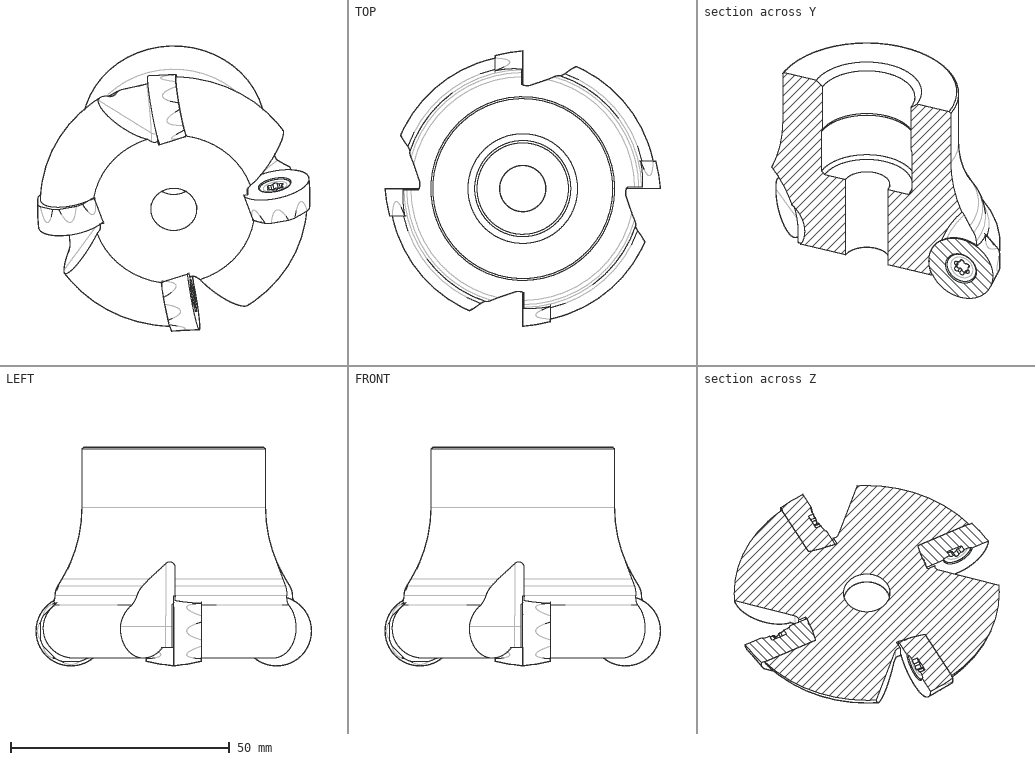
import cadquery as cq
import math


OVERALL_HEIGHT = 50.0
CUTTING_RADIUS = 31.5
INSERT_COUNT = 4

HUB_RADIUS = 42.0 / 2
HUB_CHAMFER = 0.45
FLARE_TOP_Z = 36.2
FLARE_BOTTOM_Z = 19.9
FLARE_RADIUS = 31.5
COLLAR_TOP_Z = 18.3
COLLAR_BOTTOM_Z = 16.1
COLLAR_RADIUS = 27.15
RIM_BLEND_Z = 13.9

RIM_CENTRE_RADIUS = 23.7
RIM_CENTRE_Z = 8.6
RIM_TUBE_RADIUS = 6.8

RECESS_CEILING_Z = 4.2
THROUGH_RADIUS = 10.5 / 2
BORE_RADIUS = 22.0 / 2
BORE_MOUTH_RADIUS = 12.55
BORE_CHAMFER_DEPTH = 1.4
RELIEF_RADIUS = 22.5 / 2
RELIEF_START_DEPTH = 13.05
RELIEF_FULL_DEPTH = 13.65
BORE_DEPTH = 25.2
BORE_FLOOR_RADIUS = 10.45

SLOT_WALL_Y = 0.3
SLOT_BACK_RADIUS = 15.75
SLOT_FOLD_Z = 9.1
SLOT_CURVE_RADIUS = 32.1
SLOT_FOLD_ANGLE = 3.2
SLOT_CORNER_RADIUS = 1.25
SLOT_TOP_Z = 31.5
SLOT_REACH = 37.8

INSERT_RADIUS = 8.0
INSERT_THICKNESS = 6.3
INSERT_RELIEF_ANGLE = 7.0
INSERT_CLEARANCE = 0.4
FLAT_COUNT = 8
FLAT_START = 2.95
FLAT_ANGLE = 11.9

SINK_RADIUS = 7.6 / 2
HEAD_RIM_RADIUS = 7.2 / 2
HEAD_RIM_DEPTH = 0.25
HEAD_FLAT_RADIUS = 5.5 / 2
HEAD_FLAT_DEPTH = 0.45
SOCKET_CORE_RADIUS = 1.5
SOCKET_LOBE_RADIUS = 0.5
SOCKET_LOBE_OFFSET = 1.5
SOCKET_LOBES = 6
SOCKET_TURN = 30.0
SOCKET_DEPTH = 1.25

INSERT_CENTRE_X = CUTTING_RADIUS - INSERT_RADIUS
INSERT_CENTRE_Z = INSERT_RADIUS
INSERT_CENTRE = (INSERT_CENTRE_X, 0, INSERT_CENTRE_Z)

INSERT_PLANE = cq.Plane(origin=INSERT_CENTRE, xDir=(1, 0, 0), normal=(0, 1, 0))


def around_axis(shape, index):
    """Turn a shape to one of the insert stations."""
    return shape.rotate((0, 0, 0), (0, 0, 1), index * 360 / INSERT_COUNT)


def body_of_revolution():
    """Body without slots, seats and bores."""
    flare_angle = math.asin((FLARE_TOP_Z - FLARE_BOTTOM_Z) / FLARE_RADIUS)
    flare_end_radius = HUB_RADIUS + FLARE_RADIUS * (1 - math.cos(flare_angle))
    cone_end_radius = flare_end_radius + (FLARE_BOTTOM_Z - COLLAR_TOP_Z) * math.tan(flare_angle)
    blend_rise = RIM_BLEND_Z - RIM_CENTRE_Z
    blend_radius = RIM_CENTRE_RADIUS + math.sqrt(RIM_TUBE_RADIUS**2 - blend_rise**2)
    recess_drop = RIM_CENTRE_Z - RECESS_CEILING_Z
    recess_radius = RIM_CENTRE_RADIUS - math.sqrt(RIM_TUBE_RADIUS**2 - recess_drop**2)
    return (
        cq.Workplane("XZ")
        .moveTo(0, OVERALL_HEIGHT)
        .lineTo(HUB_RADIUS - HUB_CHAMFER, OVERALL_HEIGHT)
        .lineTo(HUB_RADIUS, OVERALL_HEIGHT - HUB_CHAMFER)
        .lineTo(HUB_RADIUS, FLARE_TOP_Z)
        .tangentArcPoint((flare_end_radius, FLARE_BOTTOM_Z), relative=False)
        .lineTo(cone_end_radius, COLLAR_TOP_Z)
        .tangentArcPoint((COLLAR_RADIUS, COLLAR_BOTTOM_Z), relative=False)
        .tangentArcPoint((blend_radius, RIM_BLEND_Z), relative=False)
        .threePointArc(
            (RIM_CENTRE_RADIUS, RIM_CENTRE_Z - RIM_TUBE_RADIUS),
            (recess_radius, RECESS_CEILING_Z),
        )
        .lineTo(0, RECESS_CEILING_Z)
        .close()
        .revolve(360, (0, 0, 0), (0, 1, 0))
    )


def stepped_bore():
    """Chamfered arbor bore that widens into a relief towards its floor, and the through hole below."""
    floor_z = OVERALL_HEIGHT - BORE_DEPTH
    return (
        cq.Workplane("XZ")
        .moveTo(0, OVERALL_HEIGHT)
        .lineTo(BORE_MOUTH_RADIUS, OVERALL_HEIGHT)
        .lineTo(BORE_RADIUS, OVERALL_HEIGHT - BORE_CHAMFER_DEPTH)
        .lineTo(BORE_RADIUS, OVERALL_HEIGHT - RELIEF_START_DEPTH)
        .lineTo(RELIEF_RADIUS, OVERALL_HEIGHT - RELIEF_FULL_DEPTH)
        .lineTo(RELIEF_RADIUS, floor_z + RELIEF_RADIUS - BORE_FLOOR_RADIUS)
        .lineTo(BORE_FLOOR_RADIUS, floor_z)
        .lineTo(THROUGH_RADIUS, floor_z)
        .lineTo(THROUGH_RADIUS, 0)
        .lineTo(0, 0)
        .close()
        .revolve(360, (0, 0, 0), (0, 1, 0))
    )


def chip_slot():
    """Chip space in front of the insert.

    A flat wall stands beside the insert face. The back wall meets it at 45 degrees, upright up to
    the fold and curving away from the axis above it.
    """
    start_angle = math.radians(SLOT_FOLD_ANGLE)
    end_angle = math.asin((SLOT_TOP_Z - SLOT_FOLD_Z) / SLOT_CURVE_RADIUS + math.sin(start_angle))

    def curve_point(angle):
        outward = SLOT_CURVE_RADIUS * (math.cos(start_angle) - math.cos(angle))
        rise = SLOT_CURVE_RADIUS * (math.sin(angle) - math.sin(start_angle))
        return (outward, SLOT_FOLD_Z + rise)

    side_plane = cq.Plane(origin=(SLOT_BACK_RADIUS, 0, 0), xDir=(1, 1, 0), normal=(1, -1, 0))
    wedge = (
        cq.Workplane(side_plane)
        .lineTo(0, SLOT_FOLD_Z)
        .threePointArc(curve_point((start_angle + end_angle) / 2), curve_point(end_angle))
        .lineTo(SLOT_REACH, SLOT_TOP_Z)
        .lineTo(SLOT_REACH, 0)
        .close()
        .extrude(SLOT_REACH, both=True)
    )
    front_of_wall = (
        cq.Workplane("XY")
        .box(4 * SLOT_REACH, 2 * SLOT_REACH, 2 * SLOT_REACH)
        .translate((0, SLOT_WALL_Y - SLOT_REACH, 0))
    )
    near_corner = cq.selectors.BoxSelector(
        (0, -SLOT_REACH, 0),
        (CUTTING_RADIUS, SLOT_REACH, SLOT_TOP_Z),
    )
    return wedge.intersect(front_of_wall).faces(">Y").edges(near_corner).fillet(SLOT_CORNER_RADIUS)


def insert_blank():
    """Round insert tapering to the back, with flats around its back edge."""
    relief_slope = math.tan(math.radians(INSERT_RELIEF_ANGLE))
    blank = (
        cq.Workplane(INSERT_PLANE)
        .circle(INSERT_RADIUS)
        .extrude(INSERT_THICKNESS, taper=INSERT_RELIEF_ANGLE)
    )
    tip_radius = INSERT_RADIUS - FLAT_START * relief_slope
    flat_length = INSERT_THICKNESS - FLAT_START
    flat_drop = flat_length * math.tan(math.radians(FLAT_ANGLE))
    flat_cutter = (
        cq.Workplane("XY", origin=INSERT_CENTRE)
        .moveTo(tip_radius, FLAT_START)
        .lineTo(tip_radius - flat_drop, INSERT_THICKNESS)
        .lineTo(INSERT_RADIUS, INSERT_THICKNESS)
        .lineTo(INSERT_RADIUS, FLAT_START)
        .close()
        .extrude(INSERT_RADIUS / 2, both=True)
    )
    axis_end = (INSERT_CENTRE_X, INSERT_THICKNESS, INSERT_CENTRE_Z)
    for index in range(FLAT_COUNT):
        blank = blank.cut(flat_cutter.rotate(INSERT_CENTRE, axis_end, index * 360 / FLAT_COUNT))
    return blank


def screw_recess():
    """Countersink around the screw head and the six-lobe socket in it."""
    sink = (
        cq.Workplane("XY", origin=INSERT_CENTRE)
        .lineTo(SINK_RADIUS, 0)
        .lineTo(HEAD_RIM_RADIUS, HEAD_RIM_DEPTH)
        .lineTo(HEAD_FLAT_RADIUS, HEAD_FLAT_DEPTH)
        .lineTo(0, HEAD_FLAT_DEPTH)
        .close()
        .revolve(360, (0, 0, 0), (0, 1, 0))
    )
    socket_end = HEAD_FLAT_DEPTH + SOCKET_DEPTH
    core = cq.Workplane(INSERT_PLANE).circle(SOCKET_CORE_RADIUS).extrude(socket_end)
    lobes = (
        cq.Workplane(INSERT_PLANE)
        .polarArray(SOCKET_LOBE_OFFSET, SOCKET_TURN, 360, SOCKET_LOBES)
        .circle(SOCKET_LOBE_RADIUS)
        .extrude(socket_end)
    )
    return sink.union(core).union(lobes)


def insert_seat():
    """Space of the insert itself and the clearance in front of its face."""
    clearance = cq.Workplane(INSERT_PLANE).circle(INSERT_RADIUS).extrude(-INSERT_CLEARANCE)
    return insert_blank().union(clearance)


def cutter_body():
    """Revolved body with its bore, chip slots and insert seats."""
    body = body_of_revolution().cut(stepped_bore())
    slot = chip_slot()
    seat = insert_seat()
    for index in range(INSERT_COUNT):
        body = body.cut(around_axis(slot, index)).cut(around_axis(seat, index))
    return body


def cutting_insert(index):
    """Finished insert with its screw head, at one station."""
    return around_axis(insert_blank().cut(screw_recess()), index)


body = cutter_body()
inserts = [cutting_insert(index) for index in range(INSERT_COUNT)]

result = cq.Compound.makeCompound([body.solids().val(), *[insert.solids().val() for insert in inserts]])